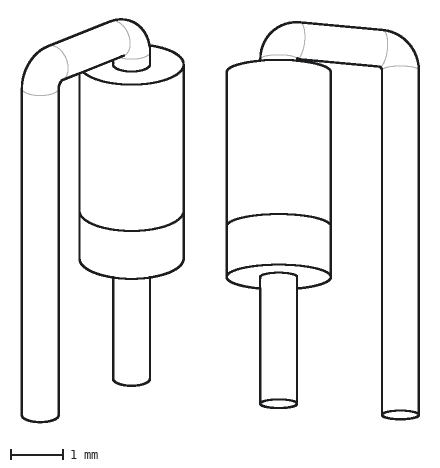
import cadquery as cq

total_height = 7.55
wire_diameter = 0.71
lead_spacing = 2.5
bend_radius = 0.4

body_diameter = 2.0
body_bottom = 2.5
band_height = 1.0
body_height = 4.04

wire_radius = wire_diameter / 2
band_top = body_bottom + band_height
upper_height = body_height - band_height


def make_sleeve(bottom, height):
    """Cylinder on the Z axis with a through hole that fits the wire."""
    return (
        cq.Workplane("XY")
        .workplane(offset=bottom)
        .circle(body_diameter / 2)
        .circle(wire_radius)
        .extrude(height)
    )


def make_wire():
    """Round wire with two upright legs joined by a bent-over top run."""
    top_run_z = total_height - wire_radius
    bend_start_z = top_run_z - bend_radius
    path = (
        cq.Workplane("YZ")
        .lineTo(0, bend_start_z)
        .tangentArcPoint((-bend_radius, top_run_z), relative=False)
        .lineTo(bend_radius - lead_spacing, top_run_z)
        .tangentArcPoint((-lead_spacing, bend_start_z), relative=False)
        .lineTo(-lead_spacing, 0)
    )
    return cq.Workplane("XY").circle(wire_radius).sweep(path)


band = make_sleeve(body_bottom, band_height)
upper_body = make_sleeve(band_top, upper_height)
wire = make_wire()

result = cq.Compound.makeCompound([band.val(), upper_body.val(), wire.val()])